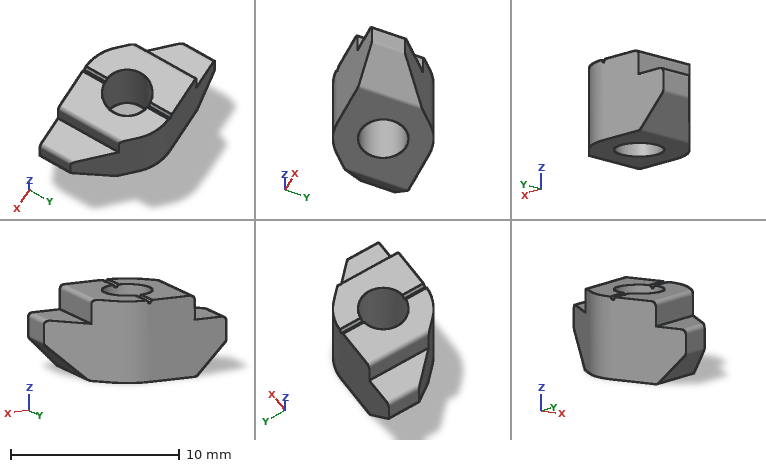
import cadquery as cq
import math

length = 10.2
width = 6.0
height = 5.0

neck_width = 6.0
shoulder_height = 3.5
base_width = 6.2
edge_radius = 0.3

bore_diameter = 3.0
groove_width = 0.37
groove_depth = groove_width / 2

half_length = length / 2
half_width = width / 2
half_neck = neck_width / 2
half_base = base_width / 2
flank_height = half_length - half_base


def make_profile():
    """T-shaped bar along Y with its long outer edges rounded."""
    right_side = [
        (half_base, 0),
        (half_length, flank_height),
        (half_length, shoulder_height),
        (half_neck, shoulder_height),
        (half_neck, height),
    ]
    left_side = [(-x, z) for x, z in reversed(right_side)]
    bar = (
        cq.Workplane("XZ")
        .polyline(right_side + left_side)
        .close()
        .extrude(half_width, both=True)
    )
    margin = 0.1
    inner_corners = cq.selectors.BoxSelector(
        (-half_neck - margin, -margin, shoulder_height - margin),
        (half_neck + margin, margin, shoulder_height + margin),
    )
    outer_edges = cq.selectors.StringSyntaxSelector("|Y") - inner_corners
    return bar.edges(outer_edges).fillet(edge_radius)


def make_plan():
    """Rectangle whose two opposite corners are cut by arcs with 45 degree tangents."""
    diagonal = half_width / math.sqrt(2)
    arc_middle_x = half_width * math.sin(math.pi / 8)
    arc_middle_y = half_width * math.cos(math.pi / 8)
    end_y = half_width * math.sqrt(2) - half_length
    return (
        cq.Workplane("XY")
        .moveTo(-half_length, half_width)
        .lineTo(0, half_width)
        .threePointArc((arc_middle_x, arc_middle_y), (diagonal, diagonal))
        .lineTo(half_length, end_y)
        .lineTo(half_length, -half_width)
        .lineTo(0, -half_width)
        .threePointArc((-arc_middle_x, -arc_middle_y), (-diagonal, -diagonal))
        .lineTo(-half_length, -end_y)
        .close()
        .extrude(height)
    )


def make_groove():
    """V-shaped groove across the top face."""
    return (
        cq.Workplane("XZ")
        .polyline([
            (-groove_width / 2, height),
            (0, height - groove_depth),
            (groove_width / 2, height),
        ])
        .close()
        .extrude(width, both=True)
    )


bore = cq.Workplane("XY").circle(bore_diameter / 2).extrude(height)

result = make_profile().intersect(make_plan()).cut(bore).cut(make_groove())